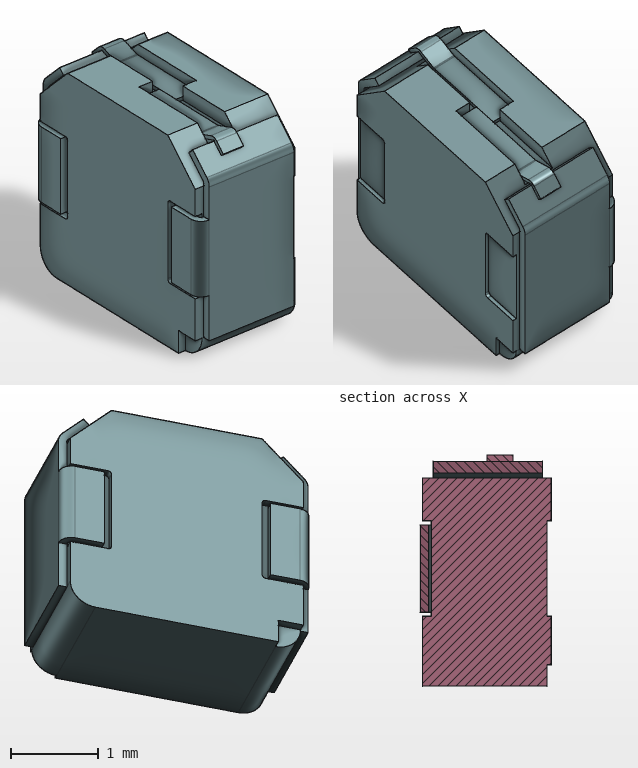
import cadquery as cq
import math

body_width = 2.8
body_depth = 1.475
body_height = 2.8
top_chamfer = 0.495
bottom_radius = 0.3
front_y = -body_depth / 2
back_y = body_depth / 2
side_x = body_width / 2

corner_relief_size = 0.3

front_recess_depth = 0.1
back_recess_depth = 0.05
recess_clearance = 0.045
recess_width = 0.495
recess_corner_radius = 0.045

terminal_thickness = 0.1
terminal_depth = 1.25
terminal_back_gap = 0.1
terminal_bottom_z = 0.3
terminal_bend_z = 2.335
bend_outer_radius = 0.15
bend_inner_radius = bend_outer_radius - terminal_thickness
flap_angle = 45
flap_length = 0.36
tab_bottom_z = 0.9
tab_height = 1.0
tab_end_x = 1.0
tab_protrusion = 0.025
tab_inner_radius = 0.025
outer_x = side_x + terminal_thickness

lead_thickness = 0.05
lead_width = 0.3
crest_outer_radius = 0.1
crest_setback = 0.02
heel_inner_radius = 0.05
heel_outer_radius = heel_inner_radius + lead_thickness
lead_foot_length = 0.19
lead_slope = 19
slot_depth = 0.19
slot_end_x = 0.15
slot_middle_width = 0.2
slot_floor_z = body_height - slot_depth


def offset(point, direction, distance):
    """Point moved along a direction by a distance."""
    return (point[0] + direction[0] * distance, point[1] + direction[1] * distance)


def heading(degrees):
    """Unit vector at an angle measured from the first axis."""
    angle = math.radians(degrees)
    return (math.cos(angle), math.sin(angle))


def box(x_range, y_range, z_range):
    """Box spanning the given ranges."""
    return (
        cq.Workplane("XY")
        .box(
            x_range[1] - x_range[0],
            y_range[1] - y_range[0],
            z_range[1] - z_range[0],
            centered=False,
        )
        .translate((x_range[0], y_range[0], z_range[0]))
    )


def half_turn(shape):
    """Copy turned 180 degrees about the vertical axis."""
    return shape.rotate((0, 0, 0), (0, 0, 1), 180)


def mirrored(shape):
    """Copy mirrored to the other side of the housing."""
    return shape.mirror("YZ")


def make_recess(y_range):
    """Recess on the -X side, with its two inner corners rounded."""
    inner_x = -side_x + recess_width
    z_range = (tab_bottom_z - recess_clearance, tab_bottom_z + tab_height + recess_clearance)
    block = box((-outer_x, inner_x), y_range, z_range)
    return block.edges("|Y and >X").fillet(recess_corner_radius)


def make_top_slot():
    """Stepped slot: one lead channel from each side, joined by a narrow middle groove."""
    z_range = (slot_floor_z, body_height)
    left_channel = box((-side_x, slot_end_x), (0, lead_width), z_range)
    middle = slot_middle_width / 2
    groove = box((-side_x, side_x), (-middle, middle), z_range)
    return left_channel.union(half_turn(left_channel)).union(groove)


def make_housing():
    """Housing block with chamfered top, rounded bottom, face recesses, reliefs and top slot."""
    block = box((-side_x, side_x), (front_y, back_y), (0, body_height))
    block = block.edges("|Y and >Z").chamfer(top_chamfer)
    block = block.edges("|Y and <Z").fillet(bottom_radius)

    front_recess = make_recess((front_y, front_y + front_recess_depth))
    back_recess = make_recess((back_y - back_recess_depth, back_y))
    for recess in (front_recess, back_recess):
        block = block.cut(recess).cut(mirrored(recess))

    relief_z = (0, corner_relief_size)
    inner_x = side_x - corner_relief_size
    front_relief = box((inner_x, side_x), (front_y, front_y + front_recess_depth), relief_z)
    back_relief = box((-side_x, -inner_x), (back_y - back_recess_depth, back_y), relief_z)
    block = block.cut(front_relief).cut(back_relief)
    return block.cut(make_top_slot())


up_slope = heading(flap_angle)
flap_normal = heading(flap_angle + 90)
bend_centre = (-outer_x + bend_outer_radius, terminal_bend_z)
flap_start = offset(bend_centre, flap_normal, bend_outer_radius)
flap_tip = offset(flap_start, up_slope, flap_length)


def make_terminal():
    """Terminal on the -X side: side plate, sloping flap on top and folded tab in front."""
    bend_middle = heading((180 + 90 + flap_angle) / 2)
    plate_back_y = back_y - terminal_back_gap
    plate = (
        cq.Workplane("XZ", origin=(0, plate_back_y, 0))
        .moveTo(-outer_x, terminal_bottom_z)
        .lineTo(-outer_x, terminal_bend_z)
        .threePointArc(offset(bend_centre, bend_middle, bend_outer_radius), flap_start)
        .lineTo(*flap_tip)
        .lineTo(*offset(flap_tip, flap_normal, -terminal_thickness))
        .lineTo(*offset(bend_centre, flap_normal, bend_inner_radius))
        .threePointArc(
            offset(bend_centre, bend_middle, bend_inner_radius), (-side_x, terminal_bend_z)
        )
        .lineTo(-side_x, terminal_bottom_z)
        .close()
        .extrude(terminal_depth)
    )

    tab_front_y = front_y - tab_protrusion
    tab_back_y = tab_front_y + terminal_thickness
    outer_centre = (-outer_x + bend_outer_radius, tab_front_y + bend_outer_radius)
    inner_centre = (-side_x + tab_inner_radius, tab_back_y + tab_inner_radius)
    fold_middle = heading(225)
    tab = (
        cq.Workplane("XY", origin=(0, 0, tab_bottom_z))
        .moveTo(-outer_x, outer_centre[1])
        .threePointArc(
            offset(outer_centre, fold_middle, bend_outer_radius), (outer_centre[0], tab_front_y)
        )
        .lineTo(-tab_end_x, tab_front_y)
        .lineTo(-tab_end_x, tab_back_y)
        .lineTo(inner_centre[0], tab_back_y)
        .threePointArc(
            offset(inner_centre, fold_middle, tab_inner_radius), (-side_x, inner_centre[1])
        )
        .lineTo(-side_x, outer_centre[1])
        .close()
        .extrude(tab_height)
    )
    return plate.union(tab)


def make_lead():
    """Lead on the -X side: foot on the terminal flap, crest, slope, heel and flat run in the slot."""
    foot_start = offset(flap_tip, up_slope, -lead_foot_length)
    foot_top_start = offset(foot_start, flap_normal, lead_thickness)
    foot_top_end = offset(foot_top_start, up_slope, lead_foot_length - crest_setback)

    crest_turn = math.radians(flap_angle + lead_slope)
    crest_core = crest_outer_radius - lead_thickness
    crest_inner_radius = crest_core - crest_setback * math.sin(crest_turn) / (1 - math.cos(crest_turn))
    crest_centre = offset(foot_top_end, flap_normal, -crest_outer_radius)
    inner_centre = offset(flap_tip, flap_normal, -crest_inner_radius)
    slope_normal = heading(90 - lead_slope)
    crest_middle = heading(90 + (flap_angle - lead_slope) / 2)

    flat_top_z = slot_floor_z + lead_thickness
    heel_z = flat_top_z + heel_inner_radius
    above_slope = offset(crest_centre, slope_normal, crest_outer_radius + heel_inner_radius)
    heel_drop = above_slope[1] - heel_z
    heel_x = above_slope[0] + heel_drop / math.tan(math.radians(lead_slope))
    heel_centre = (heel_x, heel_z)
    heel_start = heading(270 - lead_slope)
    heel_middle = heading(270 - lead_slope / 2)

    return (
        cq.Workplane("XZ", origin=(0, lead_width, 0))
        .moveTo(*foot_start)
        .lineTo(*foot_top_start)
        .lineTo(*foot_top_end)
        .threePointArc(
            offset(crest_centre, crest_middle, crest_outer_radius),
            offset(crest_centre, slope_normal, crest_outer_radius),
        )
        .lineTo(*offset(heel_centre, heel_start, heel_inner_radius))
        .threePointArc(offset(heel_centre, heel_middle, heel_inner_radius), (heel_x, flat_top_z))
        .lineTo(slot_end_x, flat_top_z)
        .lineTo(slot_end_x, slot_floor_z)
        .lineTo(heel_x, slot_floor_z)
        .threePointArc(
            offset(heel_centre, heel_middle, heel_outer_radius),
            offset(heel_centre, heel_start, heel_outer_radius),
        )
        .lineTo(*offset(inner_centre, slope_normal, crest_inner_radius))
        .threePointArc(offset(inner_centre, crest_middle, crest_inner_radius), flap_tip)
        .close()
        .extrude(lead_width)
    )


housing = make_housing()
terminal = make_terminal()
lead = make_lead()
terminals = [terminal, mirrored(terminal)]
leads = [lead, half_turn(lead)]

result = cq.Compound.makeCompound([body.val() for body in [housing, *terminals, *leads]])